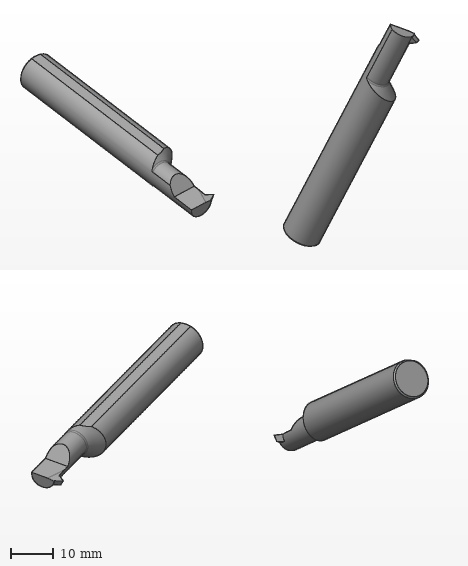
import cadquery as cq
import math

length = 63.5
shank_radius = 4.75
flat_height = 4.6
end_chamfer = 0.4

neck_radius = 3.25
neck_axis_y = -1.8
neck_start = 48.3
root_fillet = 0.6
cone_angle = math.radians(45)
envelope_margin = 0.65

ramp_end = 57.15

rake_start = (59.1, 1.35)
rake_end = (length, -0.3)
rake_angle = 7.0
rake_reach = 6.35

tooth_tip = (62.15, 3.4)
tooth_root_y = 1.2
tooth_left = 60.9
tooth_embed_y = -0.65
tooth_depth = 1.8
tooth_tip_flat = 0.1
tooth_clearance = 0.9


def make_shank():
    """Round bar along X with a chamfered rear end and a flat on top."""
    bar = cq.Workplane("YZ").circle(shank_radius).extrude(length)
    bar = bar.faces("<X").chamfer(end_chamfer)
    flat_cut = cq.Workplane("XY").workplane(offset=flat_height)
    flat_cut = flat_cut.rect(2 * length, 2 * shank_radius).extrude(shank_radius)
    return bar.cut(flat_cut)


def make_envelope():
    """Revolved limit around the neck axis: wide body, 45 degree cone, fillet, neck."""
    body_radius = shank_radius - neck_axis_y + envelope_margin
    cone_start = neck_start - (body_radius - neck_radius) / math.tan(cone_angle)
    half_angle = cone_angle / 2
    tangent = root_fillet * math.tan(half_angle)
    cone_step = tangent * math.cos(cone_angle)
    fillet_end = neck_start + tangent
    arc_middle = (
        fillet_end - root_fillet * math.sin(half_angle),
        neck_radius + root_fillet * (1 - math.cos(half_angle)),
    )
    profile = (
        cq.Workplane("XY")
        .lineTo(0, body_radius)
        .lineTo(cone_start, body_radius)
        .lineTo(neck_start - cone_step, neck_radius + cone_step)
        .threePointArc(arc_middle, (fillet_end, neck_radius))
        .lineTo(length, neck_radius)
        .lineTo(length, 0)
        .close()
    )
    return profile.revolve(360, (0, 0), (1, 0)).translate((0, neck_axis_y, 0))


def make_head_cut():
    """Removes the upper half of the head, ending in a 45 degree ramp."""
    profile = cq.Workplane("XZ").polyline([
        (ramp_end, 0),
        (length, 0),
        (length, shank_radius),
        (ramp_end - shank_radius, shank_radius),
    ]).close()
    return profile.extrude(2 * shank_radius, both=True)


def make_rake_cut():
    """Wedge whose floor falls toward +Y from the rake line on the head face."""
    run = rake_end[0] - rake_start[0]
    across = rake_end[1] - rake_start[1]
    line_length = math.hypot(run, across)
    drop = rake_reach * math.tan(math.radians(rake_angle))
    section = cq.Plane(origin=(*rake_start, 0), xDir=(-across, run, 0), normal=(run, across, 0))
    wedge = cq.Workplane(section).polyline([(0, 0), (rake_reach, 0), (rake_reach, -drop)]).close()
    return wedge.extrude(2 * line_length)


def make_tooth():
    """Pointed tooth whose flanks draw in downward for clearance."""
    tip_x, tip_y = tooth_tip

    def outline(height, inset):
        return cq.Workplane("XY").workplane(offset=height).polyline([
            (tooth_left, tooth_embed_y),
            (length, tooth_embed_y),
            (length, tooth_root_y - inset),
            (tip_x + tooth_tip_flat / 2, tip_y - inset),
            (tip_x - tooth_tip_flat / 2, tip_y - inset),
            (tooth_left, tooth_root_y - inset),
        ]).close()

    top = outline(0, 0).wires().val()
    bottom = outline(-tooth_depth, tooth_clearance).wires().val()
    return cq.Workplane(cq.Solid.makeLoft([top, bottom], True))


result = make_shank().intersect(make_envelope()).cut(make_head_cut())
result = result.union(make_tooth()).cut(make_rake_cut())